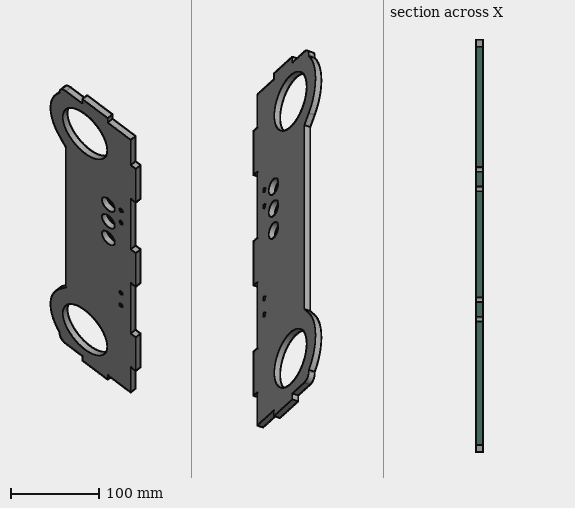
import cadquery as cq
import math

thickness = 8.0
total_height = 466.5
total_width = 134.8
tab_depth = 8.0
body_left = 24.2
body_right = total_width - tab_depth
body_top = total_height / 2 - tab_depth

lug_radius = 58.8
lug_x = lug_radius
lug_arc_drop = 38.5
bore_x = 54.5
bore_z = 175.0
bore_diameter = 70.0

shoulder_x = 14.5
shoulder_radius = 10.0

end_tab_x = 70.5
end_tab_width = 40.0
side_tab_length = 60.0
side_tab_pitch = 150.0

medium_diameter = 20.0
medium_x = 91.5
medium_pitch = 30.0
medium_middle_z = 50.0
small_diameter = 5.0
small_x = 111.5
small_spacing = 22.0
small_pair_centers = (75.5, -72.0)


def lug_half_height(x):
    """Height of the lug circle above its centre at a given X."""
    return math.sqrt(lug_radius**2 - (lug_x - x) ** 2)


def block(x_min, x_max, z_min, z_max):
    """Rectangular piece of the plate."""
    return cq.Workplane("XY").box(
        x_max - x_min, thickness, z_max - z_min
    ).translate(((x_min + x_max) / 2, 0, (z_min + z_max) / 2))


def body():
    """Plate outline without tabs, traced clockwise from the lower right corner."""
    flank_angle = math.asin(lug_arc_drop / lug_radius)
    flank_x = lug_x - lug_radius * math.cos(flank_angle)
    flank_z = bore_z - lug_arc_drop
    neck_z = flank_z - (body_left - flank_x) / math.tan(flank_angle)
    shoulder_z = bore_z + lug_half_height(shoulder_x)
    shoulder_end_x = shoulder_x + shoulder_radius
    shoulder_start_z = body_top - shoulder_radius
    arc_middle = shoulder_radius * (1 - math.sqrt(0.5))
    round_middle = (shoulder_x + arc_middle, body_top - arc_middle)
    return (
        cq.Workplane("XZ")
        .moveTo(body_right, -body_top)
        .lineTo(shoulder_end_x, -body_top)
        .threePointArc((round_middle[0], -round_middle[1]), (shoulder_x, -shoulder_start_z))
        .lineTo(shoulder_x, -shoulder_z)
        .threePointArc((0, -bore_z), (flank_x, -flank_z))
        .lineTo(body_left, -neck_z)
        .lineTo(body_left, neck_z)
        .lineTo(flank_x, flank_z)
        .threePointArc((0, bore_z), (shoulder_x, shoulder_z))
        .lineTo(shoulder_x, shoulder_start_z)
        .threePointArc(round_middle, (shoulder_end_x, body_top))
        .lineTo(body_right, body_top)
        .close()
        .extrude(thickness / 2, both=True)
    )


def add_tabs(plate):
    """Full-height end tab plus three tabs on the right edge."""
    half_width = end_tab_width / 2
    half_height = total_height / 2
    plate = plate.union(
        block(end_tab_x - half_width, end_tab_x + half_width, -half_height, half_height)
    )
    half_length = side_tab_length / 2
    for z in (-side_tab_pitch, 0, side_tab_pitch):
        plate = plate.union(block(bore_x, total_width, z - half_length, z + half_length))
    return plate


def cut_holes(plate, centers, diameter):
    """Round holes through the plate at the given (X, Z) centres."""
    cutters = (
        cq.Workplane("XZ").pushPoints(centers).circle(diameter / 2).extrude(thickness, both=True)
    )
    return plate.cut(cutters)


bore_centers = [(bore_x, side * bore_z) for side in (-1, 1)]
medium_centers = [(medium_x, medium_middle_z + step * medium_pitch) for step in (-1, 0, 1)]
small_centers = [
    (small_x, pair_z + side * small_spacing / 2)
    for pair_z in small_pair_centers
    for side in (-1, 1)
]

result = add_tabs(body())
result = cut_holes(result, bore_centers, bore_diameter)
result = cut_holes(result, medium_centers, medium_diameter)
result = cut_holes(result, small_centers, small_diameter)